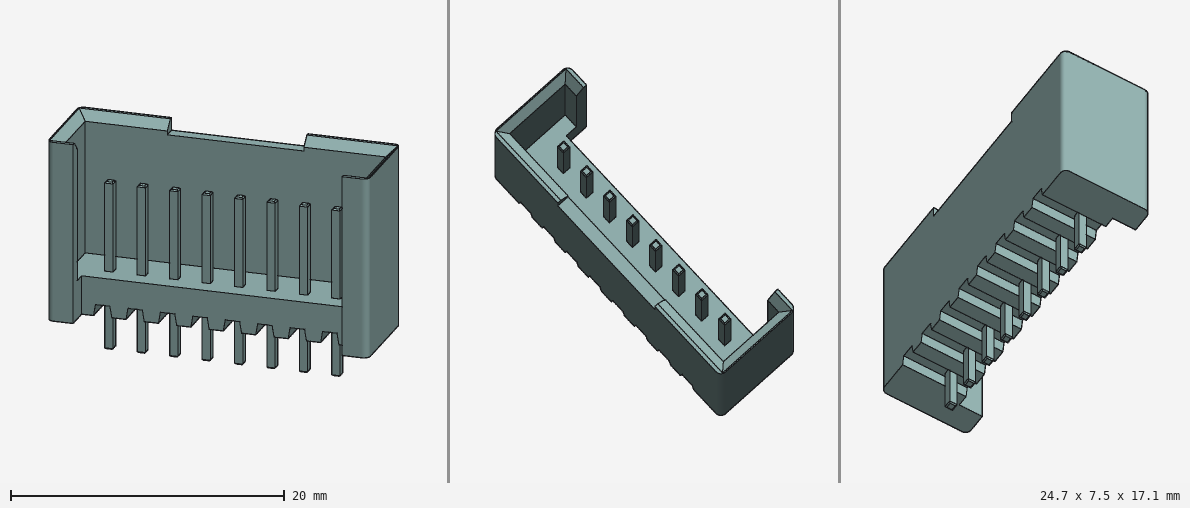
import cadquery as cq

LENGTH = 24.7
DEPTH = 7.5
HEIGHT = 14.0
CORNER_RADIUS = 0.5

END_WALL = 0.8
SIDE_WALL = 1.01
FLOOR_THICKNESS = 3.01
FLARE_DEPTH = 0.7
END_RIM = 0.1
SIDE_RIM = 0.3
CAVITY_LENGTH = LENGTH - 2 * END_WALL
CAVITY_WIDTH = DEPTH - 2 * SIDE_WALL

FRONT_LIP = 2.0
WINDOW_DEPTH = 2.0
NOTCH_LENGTH = 10.5
NOTCH_DEPTH = 1.0

PIN_COUNT = 8
PIN_PITCH = 2.5
PIN_WIDTH = 0.65
PIN_TOP = 10.0
TOTAL_HEIGHT = 17.1
PIN_BOTTOM = HEIGHT - TOTAL_HEIGHT
PIN_CHAMFER = 0.1
PIN_SPAN = PIN_PITCH * (PIN_COUNT - 1)

SLOT_MOUTH = 1.4
SLOT_ROOF = 1.1
SLOT_DEPTH = 0.9


def base_box(x_size, y_size, z_size):
    """Box centred on X and Y, standing on Z = 0."""
    return cq.Workplane("XY").box(x_size, y_size, z_size, centered=(True, True, False))


def outer_block():
    return base_box(LENGTH, DEPTH, HEIGHT).edges("|Z").fillet(CORNER_RADIUS)


def cavity():
    """Straight pocket above the floor, flaring outwards at the rim."""
    pocket = base_box(CAVITY_LENGTH, CAVITY_WIDTH, HEIGHT - FLOOR_THICKNESS)
    flare = (
        cq.Workplane("XY")
        .workplane(offset=HEIGHT - FLARE_DEPTH)
        .rect(CAVITY_LENGTH, CAVITY_WIDTH)
        .workplane(offset=FLARE_DEPTH)
        .rect(LENGTH - 2 * END_RIM, DEPTH - 2 * SIDE_RIM)
        .loft(ruled=True)
    )
    return pocket.translate((0, 0, FLOOR_THICKNESS)).union(flare)


def front_window():
    """Full-height opening that leaves a lip at each end of the front."""
    window = base_box(LENGTH - 2 * FRONT_LIP, WINDOW_DEPTH, HEIGHT)
    return window.translate((0, (WINDOW_DEPTH - DEPTH) / 2, 0))


def back_notch():
    notch = base_box(NOTCH_LENGTH, DEPTH / 2, NOTCH_DEPTH)
    return notch.translate((0, DEPTH / 4, HEIGHT - NOTCH_DEPTH))


def slot(x):
    outline = [
        (x - SLOT_MOUTH / 2, 0),
        (x - SLOT_ROOF / 2, SLOT_DEPTH),
        (x + SLOT_ROOF / 2, SLOT_DEPTH),
        (x + SLOT_MOUTH / 2, 0),
    ]
    return cq.Workplane("XZ").polyline(outline).close().extrude(DEPTH / 2, both=True)


def pin(x):
    bar = base_box(PIN_WIDTH, PIN_WIDTH, PIN_TOP - PIN_BOTTOM)
    bar = bar.faces("<Z or >Z").edges().chamfer(PIN_CHAMFER)
    return bar.translate((x, 0, PIN_BOTTOM))


pin_places = [i * PIN_PITCH - PIN_SPAN / 2 for i in range(PIN_COUNT)]

result = outer_block().cut(cavity()).cut(front_window()).cut(back_notch())
for place in pin_places:
    result = result.cut(slot(place))
for place in pin_places:
    result = result.union(pin(place))